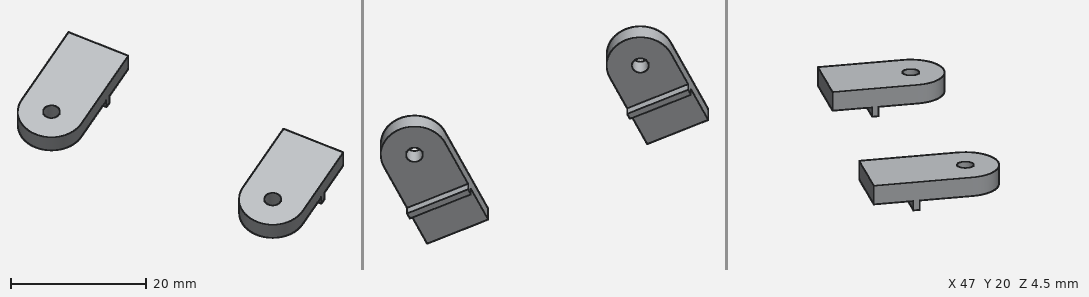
import cadquery as cq

overall_width = 46.95
tab_width = 10.0
long_tab_length = 20.0
short_tab_length = 18.0
plate_thickness = 3.0
hole_diameter = 2.5
rib_height = 1.5
rib_thickness = 1.0
rib_setback = 6.0

end_radius = tab_width / 2
tab_spacing = overall_width - tab_width


def make_tab(center_x, length):
    """Round-ended plate with a hole at the arc center and a rib across its underside.

    The hole axis is at Y = 0 and the plate underside is at Z = 0.
    """
    rear_y = length - end_radius
    plate = (
        cq.Workplane("XY")
        .moveTo(-end_radius, rear_y)
        .lineTo(-end_radius, 0)
        .threePointArc((0, -end_radius), (end_radius, 0))
        .lineTo(end_radius, rear_y)
        .close()
        .extrude(plate_thickness)
    )
    hole = cq.Workplane("XY").circle(hole_diameter / 2).extrude(plate_thickness)
    rib_center_y = rear_y - rib_setback - rib_thickness / 2
    rib = (
        cq.Workplane("XY")
        .center(0, rib_center_y)
        .rect(tab_width, rib_thickness)
        .extrude(-rib_height)
    )
    return plate.cut(hole).union(rib).translate((center_x, 0, 0))


long_tab = make_tab(-tab_spacing / 2, long_tab_length)
short_tab = make_tab(tab_spacing / 2, short_tab_length)

result = cq.Compound.makeCompound([long_tab.solids().val(), short_tab.solids().val()])